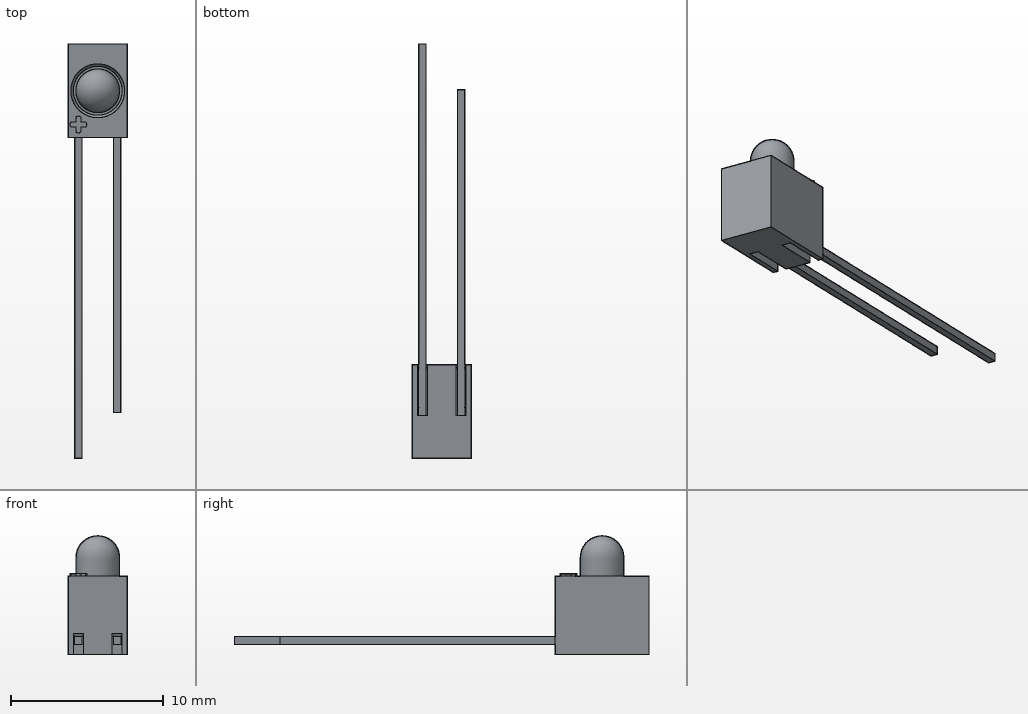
import cadquery as cq


housing_width = 3.9
housing_length = 6.15
housing_height = 5.15
front_y = -housing_length / 2

dome_diameter = 2.87
base_diameter = 3.2
countersink_diameter = 3.53
countersink_depth = 0.25
seat_floor_z = 2.5
base_top_z = housing_height - countersink_depth

led_top_z = 7.8
dome_radius = dome_diameter / 2
dome_start_z = led_top_z - dome_radius

lead_pitch = 2.54
lead_width = 0.5
lead_height = 0.55
lead_center_z = 0.93
lead_top_z = lead_center_z + lead_height / 2
lead_bottom_z = lead_center_z - lead_height / 2
overall_length = 27.18
long_lead_end_y = housing_length / 2 - overall_length
lead_end_difference = 3.0
lead_ends = [
    (-lead_pitch / 2, long_lead_end_y),
    (lead_pitch / 2, long_lead_end_y + lead_end_difference),
]

slot_width = 0.65
slot_mouth_z = 1.39
slot_back_y = lead_width / 2
slot_slope_start_y = front_y + 0.2
slot_slope_run = 0.08

plus_x = -lead_pitch / 2
plus_y = -2.21
plus_height = 0.17
plus_arm_width = 0.33
plus_arm_reach = 0.55
plus_arm_crown = 0.08


def make_seat():
    """LED bore with its countersink, as one revolved cutter."""
    return (
        cq.Workplane("XZ")
        .moveTo(0, seat_floor_z)
        .lineTo(base_diameter / 2, seat_floor_z)
        .lineTo(base_diameter / 2, base_top_z)
        .lineTo(countersink_diameter / 2, housing_height)
        .lineTo(0, housing_height)
        .close()
        .revolve(360, (0, 0, 0), (0, 1, 0))
    )


def make_lead_slot(x):
    """Slot for a horizontal lead; its roof steps up by a steep slope near the mouth."""
    return (
        cq.Workplane("YZ", origin=(x, 0, 0))
        .moveTo(front_y, 0)
        .lineTo(slot_back_y, 0)
        .lineTo(slot_back_y, lead_top_z)
        .lineTo(slot_slope_start_y + slot_slope_run, lead_top_z)
        .lineTo(slot_slope_start_y, slot_mouth_z)
        .lineTo(front_y, slot_mouth_z)
        .close()
        .extrude(slot_width / 2, both=True)
    )


def make_lead_post(x):
    """Upright part of a lead, from the LED base down to the bend."""
    return cq.Workplane("XY", origin=(x, 0, lead_bottom_z)).rect(lead_width, lead_width).extrude(
        seat_floor_z - lead_bottom_z
    )


def make_lead(x, end_y):
    """L-shaped lead that turns forward under the LED."""
    run_length = slot_back_y - end_y
    run = cq.Workplane("XY").box(lead_width, run_length, lead_height)
    run = run.translate((x, (slot_back_y + end_y) / 2, lead_center_z))
    return make_lead_post(x).union(run)


def make_plus_arm():
    """Straight bar with slightly crowned ends, running along X."""
    half_width = plus_arm_width / 2
    shoulder = plus_arm_reach - plus_arm_crown
    return (
        cq.Workplane("XY")
        .moveTo(-shoulder, -half_width)
        .lineTo(shoulder, -half_width)
        .threePointArc((plus_arm_reach, 0), (shoulder, half_width))
        .lineTo(-shoulder, half_width)
        .threePointArc((-plus_arm_reach, 0), (-shoulder, -half_width))
        .close()
        .extrude(plus_height)
    )


def make_plus():
    arm = make_plus_arm()
    crossing_arm = arm.rotate((0, 0, 0), (0, 0, 1), 90)
    return arm.union(crossing_arm).translate((plus_x, plus_y, housing_height))


def make_housing():
    housing = cq.Workplane("XY").box(
        housing_width, housing_length, housing_height, centered=(True, True, False)
    )
    housing = housing.cut(make_seat())
    for x, _ in lead_ends:
        housing = housing.cut(make_lead_slot(x))
        housing = housing.cut(make_lead_post(x))
    return housing.union(make_plus())


def make_led():
    led = (
        cq.Workplane("XZ")
        .moveTo(0, seat_floor_z)
        .lineTo(base_diameter / 2, seat_floor_z)
        .lineTo(base_diameter / 2, base_top_z)
        .lineTo(dome_radius, base_top_z)
        .lineTo(dome_radius, dome_start_z)
        .radiusArc((0, led_top_z), -dome_radius)
        .close()
        .revolve(360, (0, 0, 0), (0, 1, 0))
    )
    for x, end_y in lead_ends:
        led = led.union(make_lead(x, end_y))
    return led


housing = make_housing()
led = make_led()

result = cq.Compound.makeCompound([housing.val(), led.val()])